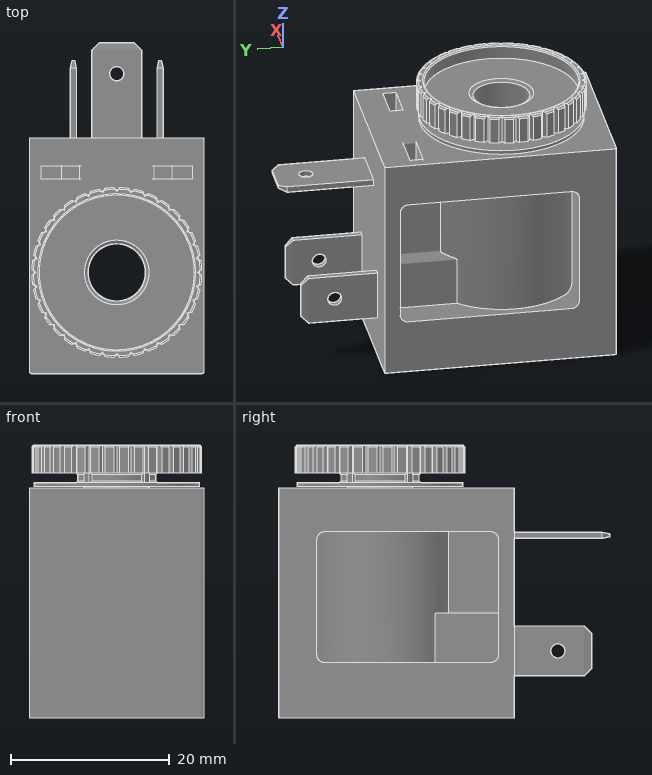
import cadquery as cq

HOUSING_WIDTH = 22.0
HOUSING_LENGTH = 29.7
HOUSING_HEIGHT = 29.0
BACK_Y = 16.95
FRONT_Y = BACK_Y - HOUSING_LENGTH
SIDE_X = HOUSING_WIDTH / 2
FRONT_EDGE_RADIUS = 0.35
BORE_DIAMETER = 7.17
COUNTERBORE_DIAMETER = 8.2
COUNTERBORE_DEPTH = 0.4
BORE_RELIEF_DIAMETER = 7.35
BORE_RELIEF_DEPTH = 0.85

WINDOW_LENGTH = 22.9
WINDOW_HEIGHT = 16.47
WINDOW_BACK_WALL = 2.0
WINDOW_BOTTOM_Z = 7.0
WINDOW_DEPTH = 6.3
WINDOW_CORNER_RADIUS = 1.0
COIL_DIAMETER = 19.7
STEP_DEPTH = 4.05
STEP_TOP_Z = 13.25
STEP_FILLET_RADIUS = 0.2

SLOT_WIDTH = 1.65
SLOT_SIDE_WALL = 1.45
SLOT_BACK_WALL = 3.5
SLOT_END_ROUNDING = 0.2

TERMINAL_WIDTH = 6.3
TERMINAL_THICKNESS = 0.8
TERMINAL_TIP_LENGTH = 0.95
TERMINAL_TIP_BEVEL = 0.2
TERMINAL_HOLE_DIAMETER = 1.75
CENTRE_TERMINAL_LENGTH = 12.0
CENTRE_TERMINAL_HOLE_Y = 8.1
CENTRE_TERMINAL_Z = 23.0
SIDE_TERMINAL_LENGTH = 9.75
SIDE_TERMINAL_HOLE_Y = 5.45
SIDE_TERMINAL_X = 5.45
SIDE_TERMINAL_Z = 8.45

NUT_TOP_Z = 34.35
CAP_DIAMETER = 21.4
CAP_HEIGHT = 3.5
CAP_EDGE_CHAMFER = 0.2
CAP_RECESS_DIAMETER = 19.5
CAP_RECESS_DEPTH = 1.8
CAP_RECESS_CHAMFER = 0.15
KNURL_COUNT = 36
KNURL_WIDTH = 0.75
KNURL_DEPTH = 0.5
KNURL_OVERRUN = 0.4
NECK_DIAMETER = 9.85
NECK_FLARE = 0.2
NECK_RIB_RADIUS = 5.4
NECK_RIB_WIDTH = 0.95
FLANGE_DIAMETER = 20.85
FLANGE_THICKNESS = 0.5
FLANGE_GAP = 0.15
NUT_BORE_MOUTH_DIAMETER = 8.15
NUT_BORE_MOUTH_DEPTH = 0.3

WINDOW_TOP_Z = WINDOW_BOTTOM_Z + WINDOW_HEIGHT
WINDOW_BACK_Y = BACK_Y - WINDOW_BACK_WALL
CAP_BOTTOM_Z = NUT_TOP_Z - CAP_HEIGHT
RECESS_FLOOR_Z = NUT_TOP_Z - CAP_RECESS_DEPTH
COUNTERBORE_FLOOR_Z = HOUSING_HEIGHT - COUNTERBORE_DEPTH
FLANGE_BOTTOM_Z = HOUSING_HEIGHT + FLANGE_GAP
FLANGE_TOP_Z = FLANGE_BOTTOM_Z + FLANGE_THICKNESS


def cylinder(diameter, bottom_z, top_z):
    """Solid cylinder on the bore axis."""
    return cq.Workplane("XY", origin=(0, 0, bottom_z)).circle(diameter / 2).extrude(top_z - bottom_z)


def cone(bottom_diameter, top_diameter, bottom_z, top_z):
    """Truncated cone on the bore axis."""
    return (
        cq.Workplane("XY", origin=(0, 0, bottom_z))
        .circle(bottom_diameter / 2)
        .workplane(offset=top_z - bottom_z)
        .circle(top_diameter / 2)
        .loft()
    )


def make_window():
    """Pocket in the -X side, leaving the coil and the rear step standing."""
    pocket = (
        cq.Workplane("XY")
        .box(WINDOW_DEPTH, WINDOW_LENGTH, WINDOW_HEIGHT, centered=False)
        .edges("|X")
        .fillet(WINDOW_CORNER_RADIUS)
        .translate((-SIDE_X, WINDOW_BACK_Y - WINDOW_LENGTH, WINDOW_BOTTOM_Z))
    )
    return pocket.cut(make_step()).cut(cylinder(COIL_DIAMETER, 0, HOUSING_HEIGHT))


def make_step():
    """Rear step in the -X window, rounded at its outer edge and where its top meets the back wall."""
    outer_x = STEP_DEPTH - SIDE_X
    wall_x = WINDOW_DEPTH - SIDE_X
    radius = STEP_FILLET_RADIUS
    return (
        cq.Workplane("XZ")
        .moveTo(0, 0)
        .lineTo(outer_x, 0)
        .lineTo(outer_x, STEP_TOP_Z - radius)
        .radiusArc((outer_x + radius, STEP_TOP_Z), radius)
        .lineTo(wall_x - radius, STEP_TOP_Z)
        .radiusArc((wall_x, STEP_TOP_Z + radius), -radius)
        .lineTo(0, STEP_TOP_Z + radius)
        .close()
        .extrude(-WINDOW_BACK_Y)
    )


def make_slot():
    """Slot from the top face down to the -X window, rounded at the top of its inner end."""
    outer_x = SLOT_SIDE_WALL - SIDE_X
    wall_x = WINDOW_DEPTH - SIDE_X
    return (
        cq.Workplane("XZ", origin=(0, BACK_Y - SLOT_BACK_WALL, 0))
        .moveTo(outer_x, WINDOW_TOP_Z)
        .lineTo(wall_x, WINDOW_TOP_Z)
        .lineTo(wall_x, HOUSING_HEIGHT - SLOT_END_ROUNDING)
        .radiusArc((wall_x + SLOT_END_ROUNDING, HOUSING_HEIGHT), SLOT_END_ROUNDING)
        .lineTo(outer_x, HOUSING_HEIGHT)
        .close()
        .extrude(SLOT_WIDTH)
    )


def make_terminal(length, hole_y):
    """Flat terminal in the XY plane: its root centre is the origin and it points to +Y."""
    half_width = TERMINAL_WIDTH / 2
    half_thickness = TERMINAL_THICKNESS / 2
    shoulder_y = length - TERMINAL_TIP_LENGTH
    plan = (
        cq.Workplane("XY", origin=(0, 0, -half_thickness))
        .moveTo(-half_width, 0)
        .lineTo(half_width, 0)
        .lineTo(half_width, shoulder_y)
        .lineTo(half_width - TERMINAL_TIP_LENGTH, length)
        .lineTo(TERMINAL_TIP_LENGTH - half_width, length)
        .lineTo(-half_width, shoulder_y)
        .close()
        .extrude(TERMINAL_THICKNESS)
    )
    tip_half_thickness = half_thickness - TERMINAL_TIP_BEVEL
    profile = (
        cq.Workplane("YZ", origin=(-half_width, 0, 0))
        .moveTo(0, -half_thickness)
        .lineTo(shoulder_y, -half_thickness)
        .lineTo(length, -tip_half_thickness)
        .lineTo(length, tip_half_thickness)
        .lineTo(shoulder_y, half_thickness)
        .lineTo(0, half_thickness)
        .close()
        .extrude(TERMINAL_WIDTH)
    )
    hole = cylinder(TERMINAL_HOLE_DIAMETER, -half_thickness, half_thickness).translate((0, hole_y, 0))
    return plan.intersect(profile).cut(hole)


def make_housing():
    """Block with two mirrored windows and slots, a stepped bore and three terminals."""
    housing = (
        cq.Workplane("XY")
        .box(HOUSING_WIDTH, HOUSING_LENGTH, HOUSING_HEIGHT, centered=(True, False, False))
        .translate((0, FRONT_Y, 0))
        .edges("|Z and <Y")
        .fillet(FRONT_EDGE_RADIUS)
    )
    for side_cut in (make_window(), make_slot()):
        housing = housing.cut(side_cut).cut(side_cut.mirror("YZ"))

    housing = housing.cut(cylinder(BORE_DIAMETER, 0, HOUSING_HEIGHT))
    housing = housing.cut(cylinder(COUNTERBORE_DIAMETER, COUNTERBORE_FLOOR_Z, HOUSING_HEIGHT))
    relief_floor_z = COUNTERBORE_FLOOR_Z - BORE_RELIEF_DEPTH
    housing = housing.cut(cylinder(BORE_RELIEF_DIAMETER, relief_floor_z, COUNTERBORE_FLOOR_Z))

    centre_terminal = make_terminal(CENTRE_TERMINAL_LENGTH, CENTRE_TERMINAL_HOLE_Y)
    housing = housing.union(centre_terminal.translate((0, BACK_Y, CENTRE_TERMINAL_Z)))
    side_terminal = make_terminal(SIDE_TERMINAL_LENGTH, SIDE_TERMINAL_HOLE_Y).rotate((0, 0, 0), (0, 1, 0), 90)
    for x in (-SIDE_TERMINAL_X, SIDE_TERMINAL_X):
        housing = housing.union(side_terminal.translate((x, BACK_Y, SIDE_TERMINAL_Z)))
    return housing


def make_knurl_groove():
    """V-groove along the cap's rim at +X, run slightly past the rim."""
    rim = CAP_DIAMETER / 2
    half_mouth = KNURL_WIDTH / 2 * (KNURL_DEPTH + KNURL_OVERRUN) / KNURL_DEPTH
    return (
        cq.Workplane("XY", origin=(0, 0, CAP_BOTTOM_Z))
        .moveTo(rim - KNURL_DEPTH, 0)
        .lineTo(rim + KNURL_OVERRUN, half_mouth)
        .lineTo(rim + KNURL_OVERRUN, -half_mouth)
        .close()
        .extrude(CAP_HEIGHT)
    )


def make_cap():
    """Knurled disc with a shallow recess in its top."""
    cap = cylinder(CAP_DIAMETER, CAP_BOTTOM_Z, NUT_TOP_Z).faces(">Z").chamfer(CAP_EDGE_CHAMFER)
    cap = cap.cut(cylinder(CAP_RECESS_DIAMETER, RECESS_FLOOR_Z, NUT_TOP_Z))
    mouth_diameter = CAP_RECESS_DIAMETER + 2 * CAP_RECESS_CHAMFER
    cap = cap.cut(cone(CAP_RECESS_DIAMETER, mouth_diameter, NUT_TOP_Z - CAP_RECESS_CHAMFER, NUT_TOP_Z))
    groove = make_knurl_groove()
    for index in range(KNURL_COUNT):
        cap = cap.cut(groove.rotate((0, 0, 0), (0, 0, 1), index * 360 / KNURL_COUNT))
    return cap


def make_neck():
    """Round neck, flared at both ends, and two crossed bars whose ends stand out as four ribs."""
    neck = cylinder(NECK_DIAMETER, FLANGE_TOP_Z, CAP_BOTTOM_Z)
    flare_diameter = NECK_DIAMETER + 2 * NECK_FLARE
    neck = neck.union(cone(flare_diameter, NECK_DIAMETER, FLANGE_TOP_Z, FLANGE_TOP_Z + NECK_FLARE))
    neck = neck.union(cone(NECK_DIAMETER, flare_diameter, CAP_BOTTOM_Z - NECK_FLARE, CAP_BOTTOM_Z))
    bar = (
        cq.Workplane("XY", origin=(0, 0, FLANGE_TOP_Z))
        .rect(2 * NECK_RIB_RADIUS, NECK_RIB_WIDTH)
        .extrude(CAP_BOTTOM_Z - FLANGE_TOP_Z)
    )
    for angle in (45, 135):
        neck = neck.union(bar.rotate((0, 0, 0), (0, 0, 1), angle))
    return neck


def make_nut():
    """Cap, neck and flange with a spigot that rests on the floor of the housing's counterbore."""
    flange = cylinder(FLANGE_DIAMETER, FLANGE_BOTTOM_Z, FLANGE_TOP_Z)
    spigot = cylinder(COUNTERBORE_DIAMETER, COUNTERBORE_FLOOR_Z, FLANGE_BOTTOM_Z)
    nut = make_cap().union(make_neck()).union(flange).union(spigot)
    bore = cylinder(BORE_DIAMETER, COUNTERBORE_FLOOR_Z, RECESS_FLOOR_Z)
    mouth_bottom_z = RECESS_FLOOR_Z - NUT_BORE_MOUTH_DEPTH
    mouth = cone(BORE_DIAMETER, NUT_BORE_MOUTH_DIAMETER, mouth_bottom_z, RECESS_FLOOR_Z)
    return nut.cut(bore).cut(mouth)


housing = make_housing()
nut = make_nut()
result = cq.Compound.makeCompound([housing.val(), nut.val()])